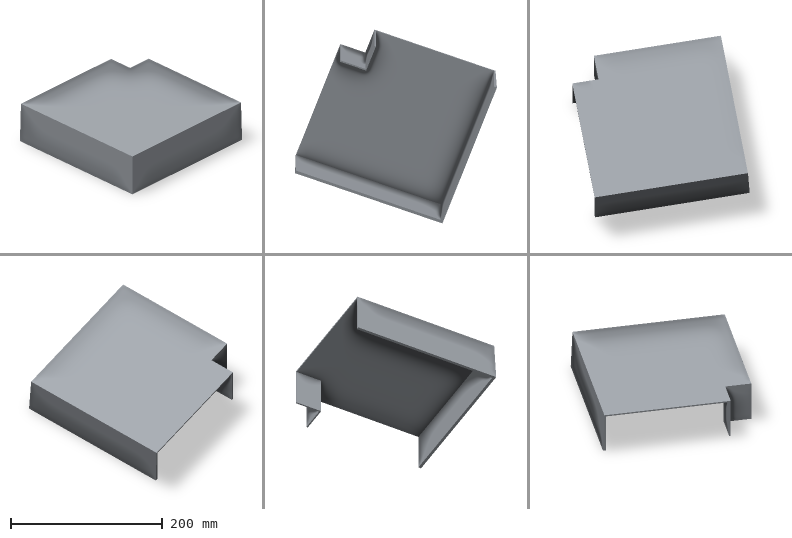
import cadquery as cq
import math

top_side = 205.0
height = 55.5
draft_angle = 2.0
notch_side = 35.0
wall = 2.0

flare = height * math.tan(math.radians(draft_angle))

open_x = 0.0
open_y = 0.0
top_x = open_x + top_side
top_y = open_y - top_side


def box_between(x_min, y_min, x_max, y_max, z_min, z_max):
    """Upright box given by its limits along each axis."""
    return (
        cq.Workplane("XY")
        .workplane(offset=z_min)
        .moveTo((x_min + x_max) / 2, (y_min + y_max) / 2)
        .rect(x_max - x_min, y_max - y_min)
        .extrude(z_max - z_min)
    )


def square_at_open_corner(z, side):
    """Wire of a square with one corner where the two open ends meet."""
    points = [
        (open_x, open_y, z),
        (open_x + side, open_y, z),
        (open_x + side, open_y - side, z),
        (open_x, open_y - side, z),
    ]
    return cq.Wire.makePolygon([cq.Vector(*point) for point in points], close=True)


def outer_block():
    """Solid block whose -Y and +X sides flare outward toward the bottom."""
    bottom = square_at_open_corner(0, top_side + flare)
    top = square_at_open_corner(height, top_side)
    return cq.Workplane(obj=cq.Solid.makeLoft([bottom, top], True))


def corner_square(side):
    """Full-height square column in the -X +Y corner."""
    return box_between(open_x, open_y - side, open_x + side, open_y, 0, height)


def cavity():
    """L-shaped duct space, open at the bottom and at both ends."""
    space = box_between(open_x, top_y + wall, top_x - wall, open_y, 0, height - wall)
    return space.cut(corner_square(notch_side + wall))


result = outer_block().cut(cavity()).cut(corner_square(notch_side))